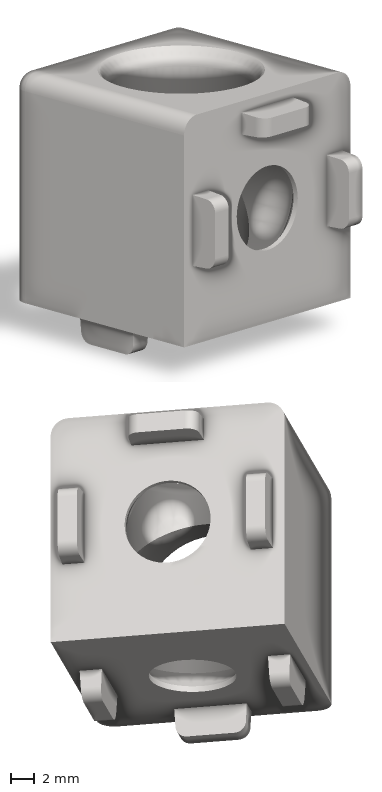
import cadquery as cq
import math

CUBE = 20.0
EDGE_RADIUS = 1.5
HALF = CUBE / 2

TAB_LENGTH = 6.2
TAB_THICKNESS = 1.9
TAB_HEIGHT = 2.5
TAB_CORNER_RADIUS = 1.0
TAB_DRAFT = 3.0
TAB_EDGE_GAP = 1.0
TAB_OFFSET = HALF - TAB_EDGE_GAP - TAB_THICKNESS / 2
TAB_ROOT = 0.5

MOUTH_RADIUS = 7.0
CHAMFER_INNER_RADIUS = 6.25
CONE_ANGLE = 45.0
LIP_RADIUS = 1.0
BORE_DRAFT = 1.25
EXIT_RADIUS = 7.35 / 2
EXIT_LENGTH = 0.5


def make_body():
    """Cube whose +Z and -X faces have rounded edges, except where they meet the tabbed faces."""
    cube = cq.Workplane("XY").box(CUBE, CUBE, CUBE)
    rounded_edges = cube.edges("(>Z and |X) or (<X and |Z) or (>Z and <X)")
    return rounded_edges.fillet(EDGE_RADIUS)


def make_tab():
    """Drafted tab pointing down from the -Z face, long side along X."""
    root_growth = 2 * TAB_ROOT * math.tan(math.radians(TAB_DRAFT))
    tab = (
        cq.Workplane("XY")
        .rect(TAB_LENGTH + root_growth, TAB_THICKNESS + root_growth)
        .extrude(TAB_HEIGHT + TAB_ROOT, taper=TAB_DRAFT)
    )
    tab = tab.faces(">Z").edges("|Y").fillet(TAB_CORNER_RADIUS)
    return tab.rotate((0, 0, 0), (1, 0, 0), 180).translate((0, 0, TAB_ROOT - HALF))


def make_tabs():
    """Three tabs on the -Z face, along its -X and both Y sides."""
    tab = make_tab()
    end_tab = tab.rotate((0, 0, 0), (0, 0, 1), 90).translate((-TAB_OFFSET, 0, 0))
    tabs = end_tab
    for side in (-1, 1):
        tabs = tabs.union(tab.translate((0, side * TAB_OFFSET, 0)))
    return tabs


def make_bore():
    """Solid of revolution about Z that cuts the bore from the +Z face down."""
    cone = math.radians(CONE_ANGLE)
    draft = math.radians(BORE_DRAFT)

    chamfer_end = HALF - (MOUTH_RADIUS - CHAMFER_INNER_RADIUS) / math.tan(cone)
    lip_centre_radius = CHAMFER_INNER_RADIUS + LIP_RADIUS * math.cos(cone)
    lip_centre_height = chamfer_end - LIP_RADIUS * math.sin(cone)

    def lip_point(angle):
        return (
            lip_centre_radius - LIP_RADIUS * math.cos(angle),
            lip_centre_height + LIP_RADIUS * math.sin(angle),
        )

    wall_radius, wall_top = lip_point(draft)
    cone_bottom = EXIT_LENGTH - HALF
    radius_above_exit = wall_radius - (wall_top - cone_bottom) * math.tan(draft) - EXIT_RADIUS
    cone_height = radius_above_exit / (math.tan(cone) - math.tan(draft))
    floor_radius = EXIT_RADIUS + cone_height * math.tan(cone)

    profile = (
        cq.Workplane("XZ")
        .moveTo(0, HALF)
        .lineTo(MOUTH_RADIUS, HALF)
        .lineTo(CHAMFER_INNER_RADIUS, chamfer_end)
        .threePointArc(lip_point((cone + draft) / 2), (wall_radius, wall_top))
        .lineTo(floor_radius, cone_bottom + cone_height)
        .lineTo(EXIT_RADIUS, cone_bottom)
        .lineTo(EXIT_RADIUS, -HALF)
        .lineTo(0, -HALF)
        .close()
    )
    return profile.revolve(360, (0, 0, 0), (0, 1, 0))


def turn_to_x(shape):
    """Half turn that takes +Z to -X and -X to +Z, hence -Z to +X."""
    return shape.rotate((0, 0, 0), (1, 0, -1), 180)


bottom_tabs = make_tabs()
vertical_bore = make_bore()

result = make_body().union(bottom_tabs).union(turn_to_x(bottom_tabs))
result = result.cut(vertical_bore).cut(turn_to_x(vertical_bore))